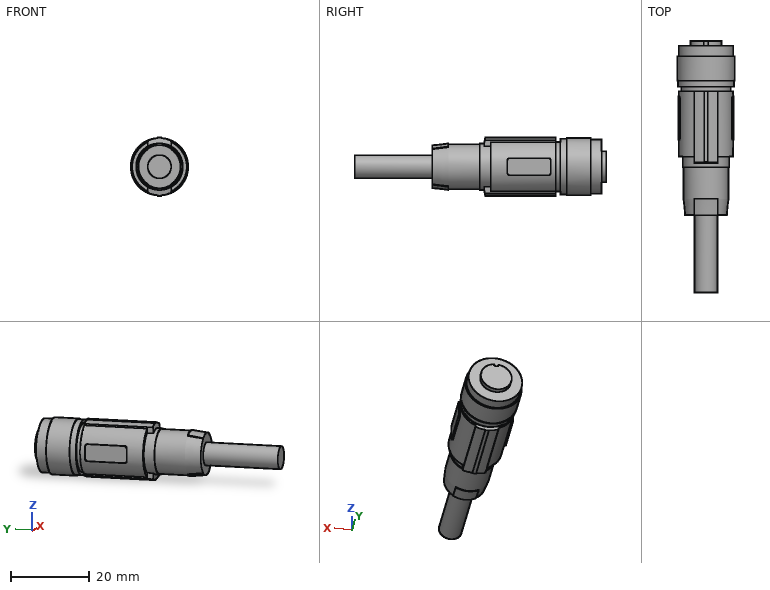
import cadquery as cq

total_length = 64.5

nose_end = 1.2
front_ring_end = 3.95
nut_end = 10.2
rear_ring_end = 11.8
neck_end = 12.9
grip_end = 29.7
collar_end = 32.45
barrel_end = 40.5
tail_end = 44.65

nose_diameter = 8.05
front_ring_diameter = 14.0
nut_diameter = 14.8
rear_ring_diameter = 14.4
neck_diameter = 12.8
grip_diameter = 14.0
collar_diameter = 12.0
barrel_diameter = 11.6
tail_end_diameter = 10.8
cable_diameter = 6.0

key_diameter = 1.2

rib_width = cable_diameter
rib_diameter = nut_diameter
ridge_width = 0.95
ridge_height = 7.515
rib_base_end = 31.35
rib_top_end = 31.0

band_start_diameter = 12.0
band_end_diameter = 11.0

pad_start = 14.25
pad_end = 25.35
pad_width = 4.45
pad_corner_radius = 0.65
pad_span = 14.2


def y_at(distance):
    """Y coordinate at a distance back from the mating end."""
    return total_length - distance


def cylinder(start, end, diameter):
    """Cylinder on the Y axis between two distances from the mating end."""
    plane = cq.Workplane("XZ", origin=(0, y_at(start), 0))
    return plane.circle(diameter / 2).extrude(end - start)


def taper(start, end, start_diameter, end_diameter):
    """Cone frustum on the Y axis between two distances from the mating end."""
    profile = [
        (0, y_at(start)),
        (start_diameter / 2, y_at(start)),
        (end_diameter / 2, y_at(end)),
        (0, y_at(end)),
    ]
    return cq.Workplane("XY").polyline(profile).close().revolve(360, (0, 0, 0), (0, 1, 0))


def stepped_body():
    """Nose, coupling nut, grip, barrel and cable as stacked round sections."""
    sections = [
        (nose_end, nose_diameter),
        (front_ring_end, front_ring_diameter),
        (nut_end, nut_diameter),
        (rear_ring_end, rear_ring_diameter),
        (neck_end, neck_diameter),
        (grip_end, grip_diameter),
        (collar_end, collar_diameter),
        (barrel_end, barrel_diameter),
    ]
    body = taper(barrel_end, tail_end, barrel_diameter, tail_end_diameter)
    body = body.union(cylinder(tail_end, total_length, cable_diameter))
    start = 0
    for end, diameter in sections:
        body = body.union(cylinder(start, end, diameter))
        start = end
    return body


def grip_ribs():
    """Top and bottom ribs with centre ridges and sloped rear ends."""
    length = rib_base_end - neck_end
    middle = y_at((neck_end + rib_base_end) / 2)
    strip = cq.Workplane("XY").box(rib_width, length, rib_diameter).translate((0, middle, 0))
    ridge = cq.Workplane("XY").box(ridge_width, length, 2 * ridge_height).translate((0, middle, 0))
    rib_pair = cylinder(neck_end, rib_base_end, rib_diameter).intersect(strip).union(ridge)

    base_height = collar_diameter / 2
    outline = [
        (y_at(neck_end), ridge_height),
        (y_at(rib_top_end), ridge_height),
        (y_at(rib_base_end), base_height),
        (y_at(rib_base_end), -base_height),
        (y_at(rib_top_end), -ridge_height),
        (y_at(neck_end), -ridge_height),
    ]
    envelope = cq.Workplane("YZ").polyline(outline).close().extrude(rib_width / 2, both=True)
    return rib_pair.intersect(envelope)


def tail_bands():
    """Top and bottom bands on the tail, limited to the rib width."""
    cone = taper(barrel_end, tail_end, band_start_diameter, band_end_diameter)
    strip = cq.Workplane("XY").box(rib_width, tail_end - barrel_end, band_start_diameter)
    return cone.intersect(strip.translate((0, y_at((barrel_end + tail_end) / 2), 0)))


def label_pads():
    """One rounded block through the grip, leaving a flat pad on each side."""
    block = cq.Workplane("XY").box(pad_span, pad_end - pad_start, pad_width)
    block = block.edges("|X").fillet(pad_corner_radius)
    return block.translate((0, y_at((pad_start + pad_end) / 2), 0))


def key_groove():
    """Round cutter on the top edge of the nose."""
    return cylinder(0, nose_end, key_diameter).translate((0, 0, nose_diameter / 2))


result = stepped_body().union(grip_ribs()).union(tail_bands()).union(label_pads()).cut(key_groove())